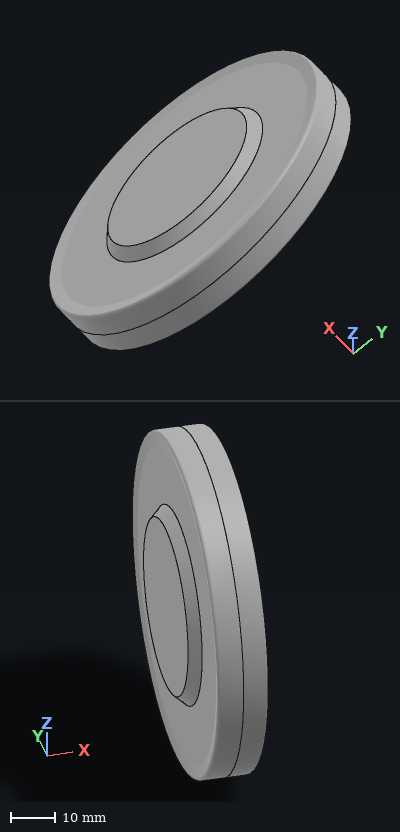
import cadquery as cq

overall_width = 16.0
rim_diameter = 80.0
rim_width = 11.8
rim_face_diameter = 78.5
web_outer_diameter = 72.5
web_recess = 0.6
hub_base_diameter = 45.9
hub_face_diameter = 41.0

half_width = overall_width / 2
rim_half_width = rim_width / 2
web_half_width = rim_half_width - web_recess
rim_radius = rim_diameter / 2
rim_face_radius = rim_face_diameter / 2
edge_radius = rim_radius - rim_face_radius
arc_middle = edge_radius * 0.5 ** 0.5


def make_half(side):
    """Revolve one half-disc about X; side is -1 or +1 for the direction it faces."""
    profile = (
        cq.Workplane("XY")
        .moveTo(0, 0)
        .lineTo(side * half_width, 0)
        .lineTo(side * half_width, hub_face_diameter / 2)
        .lineTo(side * web_half_width, hub_base_diameter / 2)
        .lineTo(side * web_half_width, web_outer_diameter / 2)
        .lineTo(side * rim_half_width, rim_face_radius)
        .threePointArc(
            (side * (rim_half_width - edge_radius + arc_middle), rim_face_radius + arc_middle),
            (side * (rim_half_width - edge_radius), rim_radius),
        )
        .lineTo(0, rim_radius)
        .close()
    )
    return profile.revolve(360, (0, 0, 0), (1, 0, 0))


half_discs = [make_half(side) for side in (-1, 1)]

result = cq.Compound.makeCompound([half_disc.val() for half_disc in half_discs])